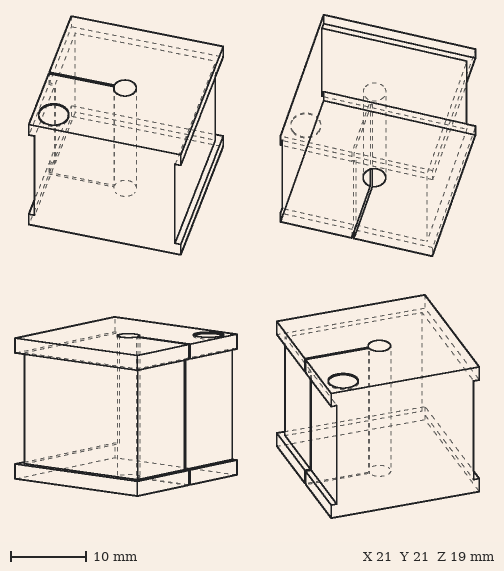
import cadquery as cq

LENGTH_X = 21.0
LENGTH_Y = 21.0
HEIGHT = 19.0

FLANGE_THICKNESS = 2.0
SIDE_RECESS = 0.8
BACK_RECESS = 1.0

BORE_DIAMETER = 3.0
SLOT_WIDTH = 0.3

LABEL_DIAMETER = 4.0
LABEL_DEPTH = 0.2
LABEL_INSET = 2.7

WAIST_X = LENGTH_X - 2 * SIDE_RECESS
WAIST_Y = LENGTH_Y - BACK_RECESS
WAIST_HEIGHT = HEIGHT - 2 * FLANGE_THICKNESS
BORE_Y = -BACK_RECESS / 2


def make_plate(size_x, size_y, center_y, bottom_z, thickness):
    """Rectangular slab centred on X, standing on bottom_z."""
    return (
        cq.Workplane("XY", origin=(0, center_y, bottom_z))
        .rect(size_x, size_y)
        .extrude(thickness)
    )


def make_spool():
    """Waist with a wider flange at each end, flush on the -Y side."""
    spool = make_plate(WAIST_X, WAIST_Y, BORE_Y, FLANGE_THICKNESS, WAIST_HEIGHT)
    for bottom_z in (0, HEIGHT - FLANGE_THICKNESS):
        spool = spool.union(make_plate(LENGTH_X, LENGTH_Y, 0, bottom_z, FLANGE_THICKNESS))
    return spool


def make_bore_and_slot():
    """Through bore joined to a narrow slot running out of the -X side."""
    bore = cq.Workplane("XY").center(0, BORE_Y).circle(BORE_DIAMETER / 2).extrude(HEIGHT)
    slot_length = LENGTH_X / 2
    slot = (
        cq.Workplane("XY")
        .center(-slot_length / 2, BORE_Y)
        .rect(slot_length, SLOT_WIDTH)
        .extrude(HEIGHT)
    )
    return bore.union(slot)


def make_label_recess():
    """Shallow disc sunk into the top face."""
    label_x = -LENGTH_X / 2 + LABEL_INSET
    label_y = -LENGTH_Y / 2 + LABEL_INSET
    return (
        cq.Workplane("XY", origin=(label_x, label_y, HEIGHT - LABEL_DEPTH))
        .circle(LABEL_DIAMETER / 2)
        .extrude(LABEL_DEPTH)
    )


result = make_spool().cut(make_bore_and_slot()).cut(make_label_recess())